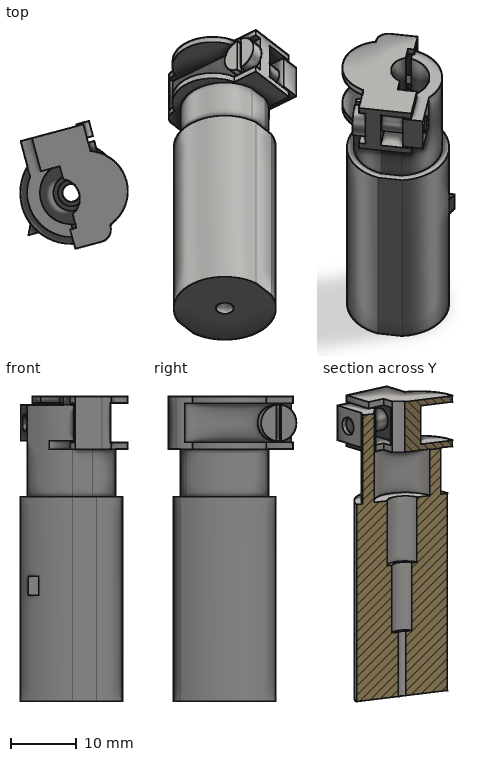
import cadquery as cq

CLAMP_ANGLE = 15.0
FAR = 27.75

TOTAL_HEIGHT = 46.25
SHOULDER_Z = 31.05
JAW_BOTTOM_Z = 38.25
PLATE_THICKNESS = 1.0
SHELL_TOP_Z = 44.95
EAR_BOTTOM_Z = 39.5

BARREL_RADIUS = 7.75
BARREL_FLAT_Y = 7.55
NECK_RADIUS = 6.7
NECK_FLAT_Y = 6.5
SHELL_END_X = -1.25
SLOT_UPPER_Y = 4.2
SLOT_LOWER_Y = -4.7

BORE_STEPS = [(4.75, SHOULDER_Z), (2.75, 20.8), (2.05, 10.18), (1.35, 0.0)]

KEY_TIP = (-7.95, -4.55)
KEY_ROOT_INSET = 1.85
KEY_SLANT = (1.05, 2.3)
KEY_BOTTOM_Z = 16.1
KEY_HEIGHT = 2.85

CLAMP_END_Y = 9.57
EAR_OUTER_X = -5.4
EAR_INNER_X = -2.3
PLATE_EAR_X = -3.6
PLATE_STEP_Y = 4.35
PLATE_INNER_X = -0.65
PLATE_OUTER_X = 4.45
WEB_INNER_X = 1.1
WEB_OUTER_X = 3.4

JAW_CENTRE_Y = -0.4
LOBE_CENTRE_X = 2.45
LOBE_RADIUS = 6.1
SADDLE_RADIUS = 3.0
SADDLE_CENTRE_X = WEB_INNER_X - SADDLE_RADIUS
SADDLE_BLOCK_WIDTH = 6.25

FOOT_END_Y = -8.35
FOOT_STEP_Y = -5.3
FOOT_INNER_X = -1.6
FOOT_WALL = 1.0
FOOT_ROUND = 1.95

SCREW_Y = 7.08
SCREW_Z = (SHELL_TOP_Z + EAR_BOTTOM_Z) / 2
SCREW_RADIUS = 1.35
SCREW_TIP_X = -4.62
COLLAR_RADIUS = 1.65
HEAD_RADIUS = 2.78
HEAD_OUTER_X = 5.4
DRIVER_SLOT_WIDTH = 0.75
DRIVER_SLOT_DEPTH = HEAD_OUTER_X - PLATE_OUTER_X


def block(x_range, y_range, z_range):
    """Box between two corners."""
    (x0, x1), (y0, y1), (z0, z1) = x_range, y_range, z_range
    return cq.Workplane("XY").box(x1 - x0, y1 - y0, z1 - z0, centered=False).translate((x0, y0, z0))


def upright_cylinder(x, y, radius, z0, z1):
    """Cylinder along Z between two heights."""
    return cq.Workplane("XY", origin=(x, y, z0)).circle(radius).extrude(z1 - z0)


def screw_cylinder(radius, x0, x1):
    """Cylinder on the screw axis, along X."""
    return cq.Workplane("YZ", origin=(x0, SCREW_Y, SCREW_Z)).circle(radius).extrude(x1 - x0)


def flatted_cylinder(radius, flat_y, z0, z1):
    """Cylinder on the barrel axis with a flat on its -Y and +Y sides."""
    between_flats = block((-radius, radius), (-flat_y, flat_y), (z0, z1))
    return upright_cylinder(0, 0, radius, z0, z1).intersect(between_flats)


def make_key():
    x, y = KEY_TIP
    slant_run, slant_rise = KEY_SLANT
    corners = [(x, y), (x + KEY_ROOT_INSET, y), (x + slant_run, y + slant_rise)]
    return cq.Workplane("XY", origin=(0, 0, KEY_BOTTOM_Z)).polyline(corners).close().extrude(KEY_HEIGHT)


def make_half_shell():
    """Half of the neck wall that stands up inside the jaw, slotted for the lower jaw plate."""
    z_range = (JAW_BOTTOM_Z, SHELL_TOP_Z)
    slot_z_range = (JAW_BOTTOM_Z, EAR_BOTTOM_Z)
    shell = upright_cylinder(0, 0, NECK_RADIUS, *z_range)
    shell = shell.cut(block((SHELL_END_X, FAR), (-FAR, FAR), z_range))
    shell = shell.cut(block((EAR_INNER_X, FAR), (0, FAR), z_range))
    shell = shell.cut(block((-FAR, FAR), (SLOT_UPPER_Y, FAR), slot_z_range))
    return shell.cut(block((-FAR, FAR), (-FAR, SLOT_LOWER_Y), slot_z_range))


def make_barrel():
    barrel = flatted_cylinder(BARREL_RADIUS, BARREL_FLAT_Y, 0, SHOULDER_Z)
    barrel = barrel.union(flatted_cylinder(NECK_RADIUS, NECK_FLAT_Y, SHOULDER_Z, JAW_BOTTOM_Z))
    barrel = barrel.union(make_half_shell()).union(make_key())
    ear = block((EAR_OUTER_X, EAR_INNER_X), (0, CLAMP_END_Y), (EAR_BOTTOM_Z, SHELL_TOP_Z))
    barrel = barrel.union(ear)
    for radius, floor_z in BORE_STEPS:
        barrel = barrel.cut(upright_cylinder(0, 0, radius, floor_z, TOTAL_HEIGHT))
    return barrel.cut(screw_cylinder(SCREW_RADIUS, EAR_OUTER_X, EAR_INNER_X))


def make_foot(y_range, z_range):
    """Part of the foot, with its outer corner rounded."""
    foot = block((FOOT_INNER_X, PLATE_OUTER_X), (FOOT_END_Y, 0), z_range)
    foot = foot.edges("|Z and >X and <Y").fillet(FOOT_ROUND)
    return foot.intersect(block((-FAR, FAR), y_range, z_range))


def make_plate(bottom_z):
    """One of the two flat sides of the jaw."""
    z_range = (bottom_z, bottom_z + PLATE_THICKNESS)
    lobe = upright_cylinder(LOBE_CENTRE_X, JAW_CENTRE_Y, LOBE_RADIUS, *z_range)
    plate = lobe.intersect(block((PLATE_INNER_X, FAR), (-FAR, FAR), z_range))
    plate = plate.union(block((PLATE_INNER_X, PLATE_OUTER_X), (FOOT_STEP_Y, PLATE_STEP_Y), z_range))
    plate = plate.union(block((PLATE_EAR_X, PLATE_OUTER_X), (PLATE_STEP_Y, CLAMP_END_Y), z_range))
    return plate.union(make_foot((FOOT_END_Y, FOOT_STEP_Y), z_range))


def make_jaw():
    full_height = (JAW_BOTTOM_Z, TOTAL_HEIGHT)
    jaw = make_plate(JAW_BOTTOM_Z).union(make_plate(TOTAL_HEIGHT - PLATE_THICKNESS))

    foot_wall_y = FOOT_END_Y + FOOT_WALL
    jaw = jaw.union(block((WEB_INNER_X, WEB_OUTER_X), (foot_wall_y, CLAMP_END_Y), full_height))
    jaw = jaw.union(make_foot((FOOT_END_Y, foot_wall_y), full_height))
    saddle_y_range = (JAW_CENTRE_Y - SADDLE_BLOCK_WIDTH / 2, JAW_CENTRE_Y + SADDLE_BLOCK_WIDTH / 2)
    jaw = jaw.union(block((PLATE_INNER_X, WEB_INNER_X), saddle_y_range, full_height))
    jaw = jaw.cut(upright_cylinder(SADDLE_CENTRE_X, JAW_CENTRE_Y, SADDLE_RADIUS, *full_height))

    jaw = jaw.union(screw_cylinder(SCREW_RADIUS, SCREW_TIP_X, WEB_OUTER_X))
    jaw = jaw.union(screw_cylinder(COLLAR_RADIUS, EAR_INNER_X, WEB_INNER_X))
    jaw = jaw.union(screw_cylinder(HEAD_RADIUS, WEB_OUTER_X, HEAD_OUTER_X))
    slot_y_range = (SCREW_Y - DRIVER_SLOT_WIDTH / 2, SCREW_Y + DRIVER_SLOT_WIDTH / 2)
    slot_x_range = (HEAD_OUTER_X - DRIVER_SLOT_DEPTH, HEAD_OUTER_X)
    return jaw.cut(block(slot_x_range, slot_y_range, full_height))


def turned(body):
    """Body turned to its final direction about the barrel axis."""
    return body.rotate((0, 0, 0), (0, 0, 1), CLAMP_ANGLE)


barrel = turned(make_barrel())
jaw = turned(make_jaw())
result = cq.Compound.makeCompound([barrel.val(), jaw.val()])